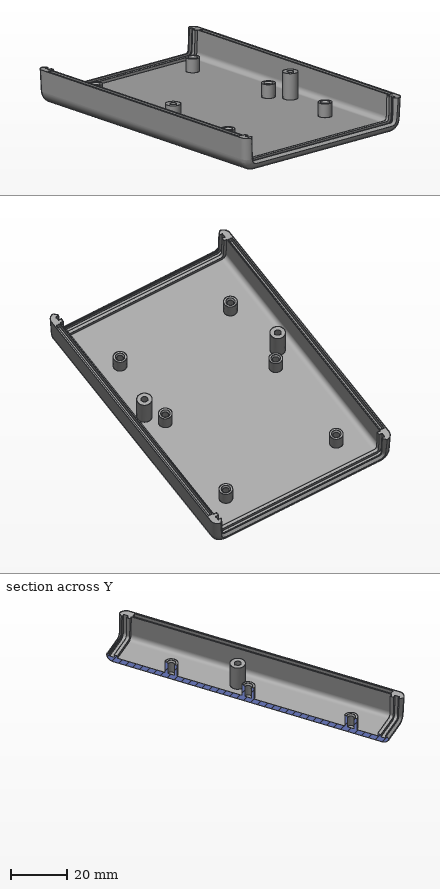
import cadquery as cq
import math

LENGTH = 111.27
WIDTH = 75.0
HEIGHT = 12.6
DRAFT_ANGLE = 2.0

FLOOR_THICKNESS = 2.4
WALL_THICKNESS = 2.55
SIDE_BEND_RADIUS = 4.6
END_ROUND_RADIUS = 2.75

RIB_INNER_X = 50.9
RIB_OUTER_X = 52.2
LIP_INNER_X = 53.9
BEVEL_START_X = 54.3
RIB_FLOOR_THICKNESS = 3.45
RIB_SIDE_THICKNESS = 3.72
BEVEL_DEPTH = 1.25

WALL_GROOVE_HALF_LENGTH = 50.5
WALL_GROOVE_RIM = 0.6
WALL_GROOVE_WIDTH = 1.5
WALL_GROOVE_DEPTH = 1.8

TALL_POST_DIAMETER = 5.5
TALL_POST_TOP = 12.2
TALL_POST_X = 6.1
TALL_POST_Y = 28.0
SHORT_POST_DIAMETER = 4.9
SHORT_POST_TOP = 7.5
SHORT_POST_X = (-40.4, -0.2, 29.9)
SHORT_POST_Y = 23.2
POST_HOLE_DIAMETER = 2.38
SHORT_POST_MOUTH_DIAMETER = 3.3
SHORT_POST_MOUTH_DEPTH = 0.7

CLEARANCE = 5.0
DRAFT_SLOPE = math.tan(math.radians(DRAFT_ANGLE))


def outer_block():
    """Drafted block with the long bottom edges bent and both ends rounded."""
    block = (
        cq.Workplane("XY", origin=(0, 0, HEIGHT))
        .rect(LENGTH, WIDTH)
        .extrude(-HEIGHT, taper=DRAFT_ANGLE)
    )
    block = block.faces("<Z").edges("|X").fillet(SIDE_BEND_RADIUS)
    for end in ("<X", ">X"):
        end_edges = block.faces(end).edges("not(>Z)")
        block = block.newObject(end_edges.vals()).fillet(END_ROUND_RADIUS)
    return block


def trough_wire(x, floor, side):
    """Closed outline, in the plane at x, of the space left above a floor and between side walls.

    The side thickness is the one at the top of the wall.
    """
    top = HEIGHT + CLEARANCE
    half_top = WIDTH / 2 - side + CLEARANCE * DRAFT_SLOPE
    half_floor = WIDTH / 2 - side - (HEIGHT - floor) * DRAFT_SLOPE
    radius = SIDE_BEND_RADIUS - floor
    bend_angle = math.radians(90 - DRAFT_ANGLE)
    bend_y = half_floor - radius * math.tan(bend_angle / 2)
    wall_y = bend_y + radius * math.sin(bend_angle)
    wall_z = floor + radius * (1 - math.cos(bend_angle))
    mid_y = bend_y + radius * math.sin(bend_angle / 2)
    mid_z = floor + radius * (1 - math.cos(bend_angle / 2))
    return (
        cq.Workplane("YZ", origin=(x, 0, 0))
        .moveTo(-bend_y, floor)
        .lineTo(bend_y, floor)
        .threePointArc((mid_y, mid_z), (wall_y, wall_z))
        .lineTo(half_top, top)
        .lineTo(-half_top, top)
        .lineTo(-wall_y, wall_z)
        .threePointArc((-mid_y, mid_z), (-bend_y, floor))
        .close()
        .val()
    )


def trough(start, end):
    """Solid between two outlines, each given as (x, floor thickness, side thickness)."""
    wires = [trough_wire(*start), trough_wire(*end)]
    return cq.Workplane(cq.Solid.makeLoft(wires, True))


def straight_trough(start_x, end_x, floor, side):
    """Trough with the same outline all along."""
    return trough((start_x, floor, side), (end_x, floor, side))


def hollow(block):
    """Open the inside, leaving a rib, a panel groove and a bevelled lip at each end."""
    past_end = LENGTH / 2 + CLEARANCE
    rib = (RIB_FLOOR_THICKNESS, RIB_SIDE_THICKNESS)
    shell = (FLOOR_THICKNESS, WALL_THICKNESS)
    block = block.cut(straight_trough(-past_end, past_end, *rib))
    block = block.cut(straight_trough(-RIB_INNER_X, RIB_INNER_X, *shell))
    bevel_end = LENGTH - BEVEL_START_X
    bevelled = (RIB_FLOOR_THICKNESS - 2 * BEVEL_DEPTH, RIB_SIDE_THICKNESS - 2 * BEVEL_DEPTH)
    for end in (-1, 1):
        block = block.cut(straight_trough(end * RIB_OUTER_X, end * LIP_INNER_X, *shell))
        block = block.cut(trough((end * BEVEL_START_X, *rib), (end * bevel_end, *bevelled)))
    return block


def cut_wall_grooves(block):
    """Cut a groove into the top of each long wall, leaving a thin rim on both sides of it."""
    center_y = (WIDTH - WALL_GROOVE_WIDTH) / 2 - WALL_GROOVE_RIM
    grooves = (
        cq.Workplane("XY", origin=(0, 0, HEIGHT))
        .pushPoints([(0, -center_y), (0, center_y)])
        .rect(2 * WALL_GROOVE_HALF_LENGTH, WALL_GROOVE_WIDTH)
        .extrude(-WALL_GROOVE_DEPTH)
    )
    return block.cut(grooves)


def post(x, y, diameter, top):
    """Round post standing on the floor."""
    base = FLOOR_THICKNESS / 2
    return cq.Workplane("XY", origin=(x, y, base)).circle(diameter / 2).extrude(top - base)


def post_hole(x, y, top):
    """Blind hole from the top of a post down to the floor."""
    depth = top - FLOOR_THICKNESS
    return cq.Workplane("XY", origin=(x, y, top)).circle(POST_HOLE_DIAMETER / 2).extrude(-depth)


def post_mouth(x, y):
    """Conical widening at the top of a short post's hole."""
    return (
        cq.Workplane("XY", origin=(x, y, SHORT_POST_TOP))
        .circle(SHORT_POST_MOUTH_DIAMETER / 2)
        .workplane(offset=-SHORT_POST_MOUTH_DEPTH)
        .circle(POST_HOLE_DIAMETER / 2)
        .loft(ruled=True)
    )


def add_posts(block):
    for side in (-1, 1):
        y = side * TALL_POST_Y
        block = block.union(post(TALL_POST_X, y, TALL_POST_DIAMETER, TALL_POST_TOP))
        block = block.cut(post_hole(TALL_POST_X, y, TALL_POST_TOP))
        y = side * SHORT_POST_Y
        for x in SHORT_POST_X:
            block = block.union(post(x, y, SHORT_POST_DIAMETER, SHORT_POST_TOP))
            block = block.cut(post_hole(x, y, SHORT_POST_TOP)).cut(post_mouth(x, y))
    return block


result = add_posts(cut_wall_grooves(hollow(outer_block())))